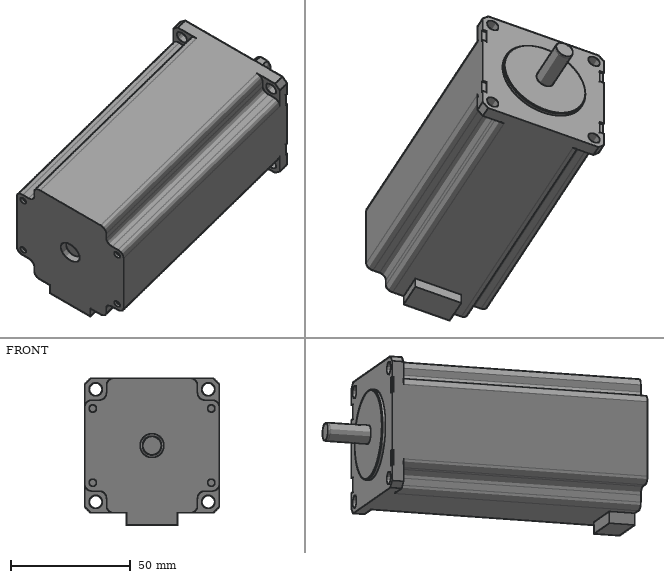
import cadquery as cq


frame_size = 56.4
total_length = 132.6
shaft_length = 18.8
pilot_height = 1.6
flange_thickness = 5.0
rear_cap_length = 11.3

corner_chamfer = 2.5
mount_hole_spacing = 47.1
mount_hole_diameter = 5.3
notch_center_z = 15.6
notch_width = 6.4
notch_depth = 0.8
notch_inset = 2.0

relief_size = 9.1
relief_radius = 3.0

pilot_diameter = 38.0
pilot_chamfer = 0.4
shaft_diameter = 8.0
shaft_lead_length = 0.8
shaft_lead_depth = 0.1
flat_length = 15.0
flat_depth = 0.46

screw_spacing_x = 49.6
screw_spacing_z = 31.0
screw_hole_diameter = 3.0
screw_hole_depth = 1.3
bore_diameter = 10.0
shaft_end_recess = 2.3
connector_width = 21.3
connector_height = 5.0

half_frame = frame_size / 2
flange_front = total_length - shaft_length - pilot_height
flange_back = flange_front - flange_thickness
shaft_radius = shaft_diameter / 2


def section_at(y):
    """Workplane facing +Y at the given y; local x is -X and local y is Z."""
    return cq.Workplane("XZ", origin=(0, y, 0)).transformed(rotate=(0, 180, 0))


def box_between(x_range, y_range, z_range):
    """Axis-aligned box spanning the three given ranges."""
    sizes = [high - low for low, high in (x_range, y_range, z_range)]
    corner = (x_range[0], y_range[0], z_range[0])
    return cq.Workplane("XY").box(*sizes, centered=False).translate(corner)


def make_housing():
    """Square body whose four long corners are relieved with rounded steps."""
    wide = frame_size
    narrow = frame_size - 2 * relief_size
    upright = section_at(0).rect(narrow, wide).extrude(flange_back)
    level = section_at(0).rect(wide, narrow).extrude(flange_back)
    return upright.union(level).edges("|Y").fillet(relief_radius)


def make_flange():
    """Chamfered square plate with four mounting holes and blind side notches."""
    flange = section_at(flange_back).rect(frame_size, frame_size).extrude(flange_thickness)
    flange = flange.edges("|Y").chamfer(corner_chamfer)
    holes = (
        section_at(flange_back)
        .rect(mount_hole_spacing, mount_hole_spacing, forConstruction=True)
        .vertices()
        .circle(mount_hole_diameter / 2)
        .extrude(flange_thickness)
    )
    flange = flange.cut(holes)
    notch_y = (flange_front - notch_depth, flange_front)
    for x_range in ((-half_frame, notch_inset - half_frame), (half_frame - notch_inset, half_frame)):
        for center_z in (-notch_center_z, notch_center_z):
            z_range = (center_z - notch_width / 2, center_z + notch_width / 2)
            flange = flange.cut(box_between(x_range, notch_y, z_range))
    return flange


def make_pilot():
    """Low centring disc on the front of the flange."""
    pilot = section_at(flange_front).circle(pilot_diameter / 2).extrude(pilot_height)
    return pilot.faces(">Y").chamfer(pilot_chamfer)


def make_shaft():
    """Shaft running through the motor, with tapered ends and a flat on its +Z side at the tip."""
    tip_radius = shaft_radius - shaft_lead_depth
    profile = (
        cq.Workplane("XY")
        .moveTo(0, shaft_end_recess)
        .lineTo(tip_radius, shaft_end_recess)
        .lineTo(shaft_radius, shaft_end_recess + shaft_lead_length)
        .lineTo(shaft_radius, total_length - shaft_lead_length)
        .lineTo(tip_radius, total_length)
        .lineTo(0, total_length)
        .close()
    )
    shaft = profile.revolve(360, (0, 0, 0), (0, 1, 0))
    flat = box_between(
        (-shaft_radius, shaft_radius),
        (total_length - flat_length, total_length),
        (shaft_radius - flat_depth, shaft_radius),
    )
    return shaft.cut(flat)


def make_connector():
    """Rectangular connector block hanging below the rear cap."""
    half_width = connector_width / 2
    z_range = (-half_frame - connector_height, -half_frame + relief_size)
    return box_between((-half_width, half_width), (0, rear_cap_length), z_range)


def make_rear_holes():
    """Clearance bore through the rear cap and four screw recesses in the rear face."""
    bore = section_at(0).circle(bore_diameter / 2).extrude(rear_cap_length)
    screws = (
        section_at(0)
        .rect(screw_spacing_x, screw_spacing_z, forConstruction=True)
        .vertices()
        .circle(screw_hole_diameter / 2)
        .extrude(screw_hole_depth)
    )
    return bore.union(screws)


result = (
    make_housing()
    .union(make_flange())
    .union(make_pilot())
    .union(make_connector())
    .cut(make_rear_holes())
    .union(make_shaft())
)